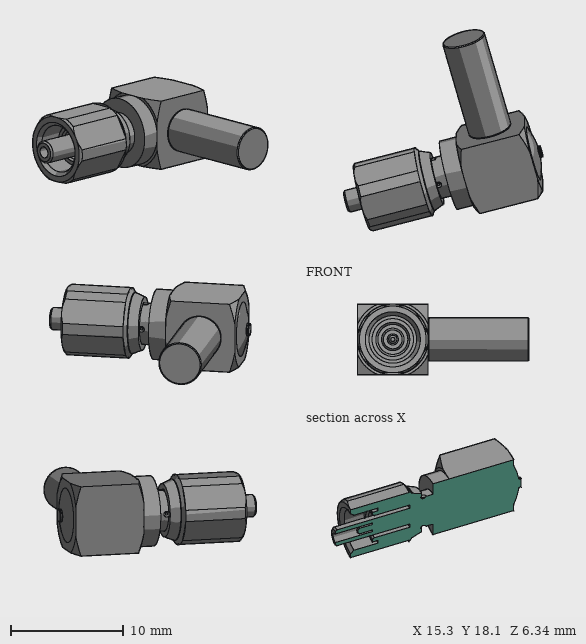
import cadquery as cq
import math


body_side = 6.3
body_front_y = 11.03
body_back_y = body_front_y + body_side
body_mid_y = (body_front_y + body_back_y) / 2
body_end_radius = 3.41
corner_drop = 0.49

dome_radius = 2.44
dome_height = 0.52
nub_tip_y = 18.05
nub_tip_radius = 0.55
nub_waist_radius = 0.49
nub_waist_y = 17.95
nub_root_radius = 0.58

tube_diameter = 3.86
tube_end_x = 12.15
tube_chamfer = 0.09
relief_width = 0.09
relief_depth = 0.07

collar_diameter = 6.3
collar_front_y = 9.48
neck_back_diameter = 3.75
neck_front_diameter = 3.7

nut_diameter = 6.34
nut_flat_half_width = 1.12
nut_front_y = 1.48
nut_hex_back_y = 7.17
nut_back_y = 8.4
nut_back_radius = 2.38
crease_radius = 2.75
crease_front_y = 7.45
crease_back_y = 7.5
nut_chamfer = 0.2
nut_bore_diameter = 4.25
nut_mouth_radius = 2.45
nut_mouth_depth = 0.32
nut_bore_floor_y = 4.15

sleeve_diameter = 3.7
sleeve_bore_diameter = 2.67
sleeve_mouth_diameter = 3.03
sleeve_front_y = 3.61
sleeve_floor_y = 7.22

contact_diameter = 2.0
contact_bore_diameter = 1.0
contact_chamfer = 0.16
contact_bore_floor_y = 3.61
pin_diameter = 0.74
pin_tip_diameter = 0.36
pin_tip_y = 2.17
pin_taper = 0.18

vent_y = 8.55
vent_diameter = 0.6
vent_bottom_diameter = 0.22
vent_depth = 0.18


def revolve_profile(points):
    """Turn (radius, y) points about the Y axis."""
    return cq.Workplane("XY").polyline(points).close().revolve(360, (0, 0, 0), (0, 1, 0))


def rod(diameter, start_y, end_y):
    radius = diameter / 2
    return revolve_profile([(0, start_y), (radius, start_y), (radius, end_y), (0, end_y)])


def make_body():
    """Cube whose corners are trimmed by a cone at each end of the plug axis."""
    block = cq.Workplane("XY").box(body_side, body_side, body_side).translate((0, body_mid_y, 0))
    corner_radius = body_side / math.sqrt(2)
    trim = revolve_profile([
        (0, body_front_y),
        (body_end_radius, body_front_y),
        (corner_radius, body_front_y + corner_drop),
        (corner_radius, body_back_y - corner_drop),
        (body_end_radius, body_back_y),
        (0, body_back_y),
    ])
    return block.intersect(trim)


def make_back_dome():
    ball_radius = (dome_radius**2 + dome_height**2) / (2 * dome_height)
    ball_y = body_back_y + dome_height - ball_radius
    ball = cq.Workplane("XY").sphere(ball_radius).translate((0, ball_y, 0))
    dome = ball.intersect(rod(2 * dome_radius, body_back_y, nub_tip_y))
    nub = revolve_profile([
        (0, body_back_y),
        (nub_root_radius, body_back_y),
        (nub_root_radius, body_back_y + dome_height),
        (nub_waist_radius, nub_waist_y),
        (nub_tip_radius, nub_tip_y),
        (0, nub_tip_y),
    ])
    return dome.union(nub)


def make_cable_tube():
    radius = tube_diameter / 2
    relief_end_x = body_side / 2 + relief_width
    tube = cq.Workplane("YZ").center(body_mid_y, 0).circle(radius).extrude(tube_end_x - relief_end_x)
    tube = tube.faces(">X").chamfer(tube_chamfer).translate((relief_end_x, 0, 0))
    relief = cq.Workplane("YZ").center(body_mid_y, 0).circle(radius - relief_depth).extrude(relief_end_x)
    return tube.union(relief)


def make_collar_and_neck():
    collar = rod(collar_diameter, collar_front_y, body_front_y)
    neck = revolve_profile([
        (0, nut_hex_back_y),
        (neck_front_diameter / 2, nut_hex_back_y),
        (neck_front_diameter / 2, nut_back_y),
        (neck_back_diameter / 2, collar_front_y),
        (0, collar_front_y),
    ])
    return collar.union(neck)


def make_nut():
    """Hexagon with rounded corners, a conical back, a front chamfer and a countersunk bore."""
    radius = nut_diameter / 2
    bore_radius = nut_bore_diameter / 2
    turned = revolve_profile([
        (0, nut_front_y),
        (radius - nut_chamfer, nut_front_y),
        (radius, nut_front_y + nut_chamfer),
        (radius, nut_hex_back_y),
        (crease_radius, crease_front_y),
        (crease_radius, crease_back_y),
        (nut_back_radius, nut_back_y),
        (0, nut_back_y),
    ])
    flat_distance = math.sqrt(radius**2 - nut_flat_half_width**2)
    hex_length = nut_hex_back_y - nut_front_y
    for side in range(6):
        waste = (
            cq.Workplane("XY")
            .box(nut_diameter, hex_length, radius, centered=(True, False, False))
            .translate((0, nut_front_y, flat_distance))
            .rotate((0, 0, 0), (0, 1, 0), 60 * side)
        )
        turned = turned.cut(waste)
    bore = revolve_profile([
        (0, nut_front_y),
        (nut_mouth_radius, nut_front_y),
        (bore_radius, nut_front_y + nut_mouth_depth),
        (bore_radius, nut_bore_floor_y),
        (0, nut_bore_floor_y),
    ])
    return turned.cut(bore)


def make_sleeve_cavity():
    """Bore around the contact, with a wider mouth."""
    mouth_radius = sleeve_mouth_diameter / 2
    bore_radius = sleeve_bore_diameter / 2
    return revolve_profile([
        (0, sleeve_front_y),
        (mouth_radius, sleeve_front_y),
        (bore_radius, sleeve_front_y + mouth_radius - bore_radius),
        (bore_radius, sleeve_floor_y),
        (0, sleeve_floor_y),
    ])


def make_contact():
    tube = rod(contact_diameter, 0, sleeve_floor_y).faces("<Y").chamfer(contact_chamfer)
    tube = tube.cut(rod(contact_bore_diameter, 0, contact_bore_floor_y))
    pin = revolve_profile([
        (0, pin_tip_y),
        (pin_tip_diameter / 2, pin_tip_y),
        (pin_diameter / 2, pin_tip_y + pin_taper),
        (pin_diameter / 2, contact_bore_floor_y),
        (0, contact_bore_floor_y),
    ])
    return tube.union(pin)


def make_vents():
    """Four tapered blind holes around the neck."""
    vent = (
        cq.Workplane("XY", origin=(0, vent_y, neck_back_diameter / 2))
        .circle(vent_diameter / 2)
        .workplane(offset=-vent_depth)
        .circle(vent_bottom_diameter / 2)
        .loft()
    )
    vents = vent
    for quarter in range(1, 4):
        vents = vents.union(vent.rotate((0, 0, 0), (0, 1, 0), 90 * quarter))
    return vents


result = (
    make_body()
    .union(make_back_dome())
    .union(make_cable_tube())
    .union(make_collar_and_neck())
    .union(make_nut())
    .union(rod(sleeve_diameter, sleeve_front_y, nut_hex_back_y))
    .cut(make_sleeve_cavity())
    .union(make_contact())
    .cut(make_vents())
)